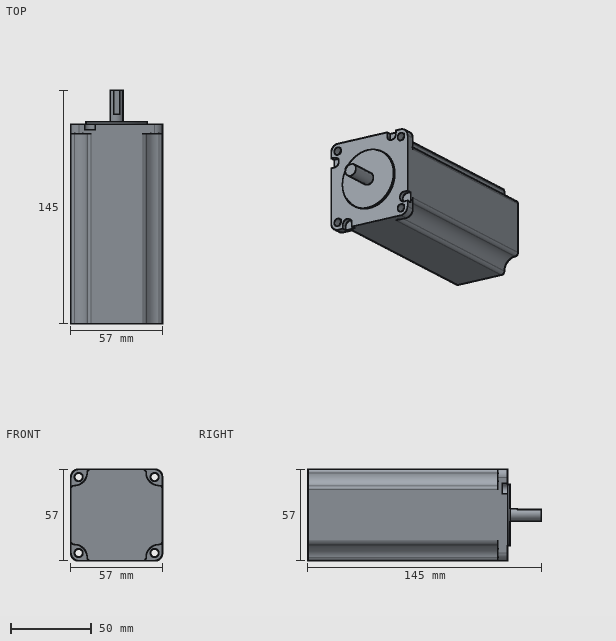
import cadquery as cq

SIZE = 57.0
HALF = SIZE / 2
BODY_LENGTH = 124.0
SHAFT_REACH = 21.0

FLANGE_THICKNESS = 6.0
HOLE_SPACING = 47.14
HOLE_DIAMETER = 5.0
FLANGE_CORNER_RADIUS = 5.0

RELIEF_INSET = 2.2
RELIEF_RADIUS = 8.0
RELIEF_BLEND_RADIUS = 2.2

PILOT_DIAMETER = 38.1
PILOT_HEIGHT = 1.5
SHAFT_DIAMETER = 8.0
SHAFT_FLAT_DEPTH = 0.5
SHAFT_FLAT_LENGTH = 15.0

NOTCH_DIAMETER = 6.5
NOTCH_DEPTH = 3.4
NOTCH_OFFSET = 16.5
NOTCH_INSET = 2.5

FRONT = 0.0
BACK = FRONT - BODY_LENGTH
FLANGE_BACK = FRONT - FLANGE_THICKNESS
SHAFT_END = FRONT + SHAFT_REACH


def cylinder(x, z, diameter, y_start, y_end):
    """Cylinder along Y between two stations."""
    axis = cq.Vector(0, 1, 0)
    return cq.Workplane(
        cq.Solid.makeCylinder(diameter / 2, y_end - y_start, cq.Vector(x, y_start, z), axis)
    )


def square_block(y_start, y_end):
    """Full-size square block between two stations along Y."""
    length = y_end - y_start
    return cq.Workplane("XY").box(SIZE, length, SIZE).translate((0, (y_start + y_end) / 2, 0))


def make_flange():
    """Square flange with rounded corners and four mounting holes."""
    flange = square_block(FLANGE_BACK, FRONT).edges("|Y").fillet(FLANGE_CORNER_RADIUS)
    for x_side in (-1, 1):
        for z_side in (-1, 1):
            x = x_side * HOLE_SPACING / 2
            z = z_side * HOLE_SPACING / 2
            flange = flange.cut(cylinder(x, z, HOLE_DIAMETER, FLANGE_BACK, FRONT))
    return flange


def make_body():
    """Square body with a concave relief at each corner, blended into the sides."""
    body = square_block(BACK, FLANGE_BACK)
    centre = HALF - RELIEF_INSET
    for x_side in (-1, 1):
        for z_side in (-1, 1):
            relief = cylinder(x_side * centre, z_side * centre, 2 * RELIEF_RADIUS, BACK, FLANGE_BACK)
            body = body.cut(relief)
    return body.edges("|Y").fillet(RELIEF_BLEND_RADIUS)


def make_shaft():
    """Output shaft with a flat on its +Z side at the free end."""
    shaft = cylinder(0, 0, SHAFT_DIAMETER, FRONT, SHAFT_END)
    flat_cut = cq.Workplane("XY").box(
        SHAFT_DIAMETER, SHAFT_FLAT_LENGTH, SHAFT_FLAT_DEPTH, centered=(True, False, False)
    ).translate((0, SHAFT_END - SHAFT_FLAT_LENGTH, SHAFT_DIAMETER / 2 - SHAFT_FLAT_DEPTH))
    return shaft.cut(flat_cut)


def make_notch():
    """Round-bottomed notch, open to the +Z side and to the flange face."""
    floor = FRONT - NOTCH_DEPTH
    round_end = cylinder(-NOTCH_OFFSET, HALF - NOTCH_INSET, NOTCH_DIAMETER, floor, FRONT)
    mouth = cq.Workplane("XY").box(
        NOTCH_DIAMETER, NOTCH_DEPTH, NOTCH_INSET, centered=(True, False, False)
    ).translate((-NOTCH_OFFSET, floor, HALF - NOTCH_INSET))
    return round_end.union(mouth)


def cut_notches(part):
    """One notch per side, repeated by quarter turns about the motor axis."""
    notch = make_notch()
    for quarter in range(4):
        part = part.cut(notch.rotate((0, 0, 0), (0, 1, 0), 90 * quarter))
    return part


pilot = cylinder(0, 0, PILOT_DIAMETER, FRONT, FRONT + PILOT_HEIGHT)
housing = cut_notches(make_body().union(make_flange()))
result = housing.union(pilot).union(make_shaft())